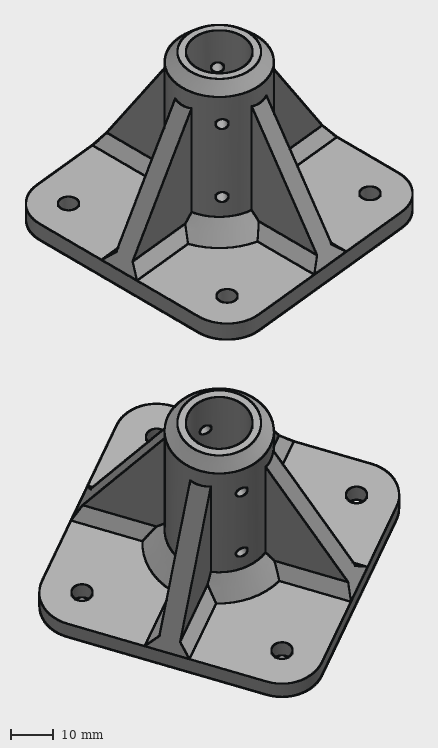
import cadquery as cq

plate_side = 70.0
plate_thickness = 5.0
corner_radius = 10.0
bolt_hole_diameter = 5.0
bolt_spacing = plate_side - 2 * corner_radius

total_height = 50.0
tube_diameter = 25.6
tube_radius = tube_diameter / 2
bore_diameter = 15.6
bore_radius = bore_diameter / 2
tube_chamfer = 3.0
collar_size = 5.2

rib_width = 5.2
rib_top = 41.6
rib_foot_chamfer = 3.0

pin_hole_diameter = 3.0
pin_hole_heights = (16.25, 38.65)
pin_hole_angle = -45.0


def make_plate():
    return (
        cq.Workplane("XY")
        .rect(plate_side, plate_side)
        .extrude(plate_thickness)
        .edges("|Z")
        .fillet(corner_radius)
        .faces(">Z")
        .workplane()
        .rect(bolt_spacing, bolt_spacing, forConstruction=True)
        .vertices()
        .hole(bolt_hole_diameter)
    )


def make_tube():
    """Solid tube body with its chamfered top and conical collar."""
    half_profile = [
        (0, 0),
        (tube_radius + collar_size, 0),
        (tube_radius + collar_size, plate_thickness),
        (tube_radius, plate_thickness + collar_size),
        (tube_radius, total_height - tube_chamfer),
        (tube_radius - tube_chamfer, total_height),
        (0, total_height),
    ]
    return cq.Workplane("XZ").polyline(half_profile).close().revolve(360, (0, 0), (0, 1))


def make_rib_pair():
    """Two opposite ribs along X: a flared cross-section trimmed by the sloping edges."""
    half_width = rib_width / 2
    foot_half_width = half_width + rib_foot_chamfer
    slope = (rib_top - plate_thickness) / (plate_side / 2 - tube_radius)
    inner_top = rib_top + slope * (tube_radius - bore_radius)
    section = [
        (-foot_half_width, plate_thickness),
        (foot_half_width, plate_thickness),
        (half_width, plate_thickness + rib_foot_chamfer),
        (half_width, inner_top),
        (-half_width, inner_top),
        (-half_width, plate_thickness + rib_foot_chamfer),
    ]
    side_outline = [
        (-plate_side / 2, plate_thickness),
        (plate_side / 2, plate_thickness),
        (bore_radius, inner_top),
        (-bore_radius, inner_top),
    ]
    bar = cq.Workplane("YZ").polyline(section).close().extrude(plate_side / 2, both=True)
    slopes = cq.Workplane("XZ").polyline(side_outline).close().extrude(foot_half_width, both=True)
    return bar.intersect(slopes)


def make_pin_hole(height):
    return (
        cq.Workplane("YZ")
        .center(0, height)
        .circle(pin_hole_diameter / 2)
        .extrude(tube_diameter, both=True)
        .rotate((0, 0, 0), (0, 0, 1), pin_hole_angle)
    )


result = make_plate().union(make_tube())
for rib_angle in (0, 90):
    result = result.union(make_rib_pair().rotate((0, 0, 0), (0, 0, 1), rib_angle))

bore = cq.Workplane("XY").circle(bore_radius).extrude(total_height)
result = result.cut(bore)
for pin_hole_height in pin_hole_heights:
    result = result.cut(make_pin_hole(pin_hole_height))